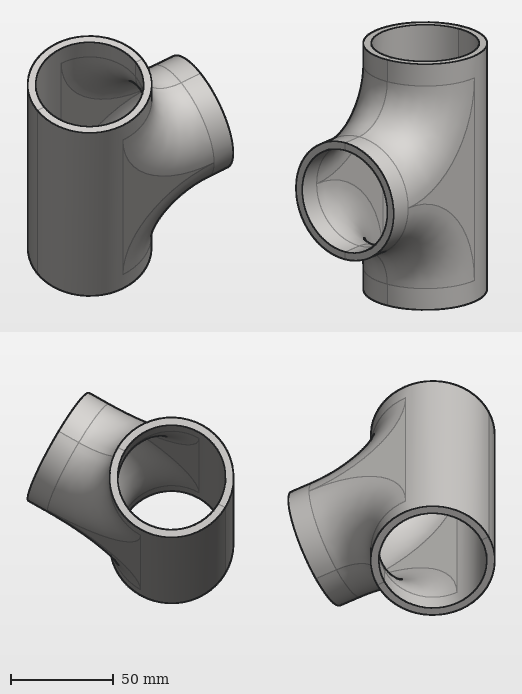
import cadquery as cq
import math

run_length = 127.0
outer_diameter = 60.3
wall = 4.0
bend_radius = 52.3

half_run = run_length / 2
branch_reach = half_run
outer_radius = outer_diameter / 2
bore_radius = outer_radius - wall
diagonal = math.sqrt(0.5)


def quarter_ring(workplane, side):
    """Pipe wall section with x > 0, on the given side (+1 or -1) of local x."""
    outer_mid = outer_radius * diagonal
    bore_mid = bore_radius * diagonal
    return (
        workplane.moveTo(outer_radius, 0)
        .threePointArc((outer_mid, side * outer_mid), (0, side * outer_radius))
        .lineTo(0, side * bore_radius)
        .threePointArc((bore_mid, side * bore_mid), (bore_radius, 0))
        .close()
    )


def run_back():
    """Run wall on the side away from the branch."""
    return quarter_ring(cq.Workplane("XY"), -1).extrude(half_run)


def run_end():
    """Straight run wall above the bend, on the branch side."""
    plane = cq.Workplane("XY", origin=(0, 0, bend_radius))
    return quarter_ring(plane, 1).extrude(half_run - bend_radius)


def bend():
    """Wall turning a quarter circle from the run to the branch."""
    plane = cq.Workplane("XY", origin=(0, 0, bend_radius))
    return quarter_ring(plane, 1).revolve(90, (0, bend_radius, 0), (1, bend_radius, 0))


def side_plate():
    """Flat wall between the run axis, the branch axis and the bend."""
    arc_mid = bend_radius * (1 - diagonal)
    return (
        cq.Workplane("YZ", origin=(bore_radius, 0, 0))
        .lineTo(bend_radius, 0)
        .threePointArc((arc_mid, arc_mid), (0, bend_radius))
        .close()
        .extrude(wall)
    )


def branch_end():
    """Straight wall at the branch mouth."""
    plane = cq.Workplane("XZ", origin=(0, branch_reach, 0))
    return quarter_ring(plane, 1).extrude(branch_reach - bend_radius)


quarter = run_back().union(side_plate()).union(bend()).union(run_end()).union(branch_end())
half = quarter.union(quarter.mirror("XY"))
result = half.union(half.mirror("YZ"), clean=False)